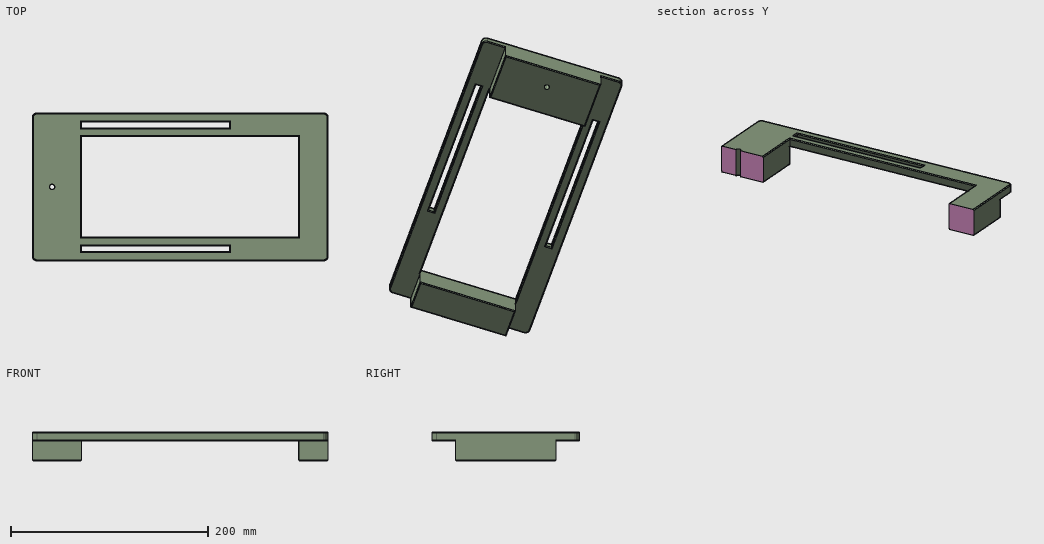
import cadquery as cq
plate_length = 300.0
plate_width = 150.0
total_height = 29.5
plate_thickness = 9.3
corner_radius = 4.8

left_end = 50.0
right_end = 30.0

window_width = 102.0
slot_length = 149.7
slot_width = 6.0
slot_offset = 62.7

hole_diameter = 5.0
hole_from_left = 20.0

edge_chamfer = 1.0

foot_height = total_height - plate_thickness
foot_width = window_width
left_side = -plate_length / 2
right_side = plate_length / 2
window_start = left_side + left_end
window_length = plate_length - left_end - right_end
tolerance = 0.0003


def block(x_start, y_center, z_start, length, width, height):
    """Box that starts at x_start and z_start and is centred on y_center."""
    return (
        cq.Workplane("XY", origin=(x_start, y_center, z_start))
        .box(length, width, height, centered=(False, True, False))
    )


def make_plate():
    """Plate with rounded corners, a window and two slots beside it."""
    plate = block(left_side, 0, foot_height, plate_length, plate_width, plate_thickness)
    plate = plate.edges("|Z").fillet(corner_radius)
    plate = plate.cut(
        block(window_start, 0, foot_height, window_length, window_width, plate_thickness)
    )
    for slot_y in (-slot_offset, slot_offset):
        plate = plate.cut(
            block(window_start, slot_y, foot_height, slot_length, slot_width, plate_thickness)
        )
    return plate


def make_foot(x_start, length):
    """Rectangular foot below one end of the plate."""
    return block(x_start, 0, 0, length, foot_width, foot_height)


def is_foot_joint(edge):
    """True for the inside corners where the side of a foot meets the plate."""
    center = edge.Center()
    at_plate_bottom = abs(center.z - foot_height) < tolerance
    at_foot_side = abs(abs(center.y) - foot_width / 2) < tolerance
    over_foot = center.x < window_start or center.x > right_side - right_end
    return at_plate_bottom and at_foot_side and over_foot


def chamfer_edges(body):
    """Chamfer every horizontal edge except the inside corners at the feet."""
    horizontal_edges = body.edges("#Z").vals()
    outer_edges = [edge for edge in horizontal_edges if not is_foot_joint(edge)]
    return body.newObject(outer_edges).chamfer(edge_chamfer)


def make_hole():
    """Cylinder that passes through the plate and the left foot."""
    return (
        cq.Workplane("XY", origin=(left_side + hole_from_left, 0, 0))
        .circle(hole_diameter / 2)
        .extrude(total_height)
    )


frame = make_plate()
frame = frame.union(make_foot(left_side, left_end))
frame = frame.union(make_foot(right_side - right_end, right_end))

result = chamfer_edges(frame).cut(make_hole())